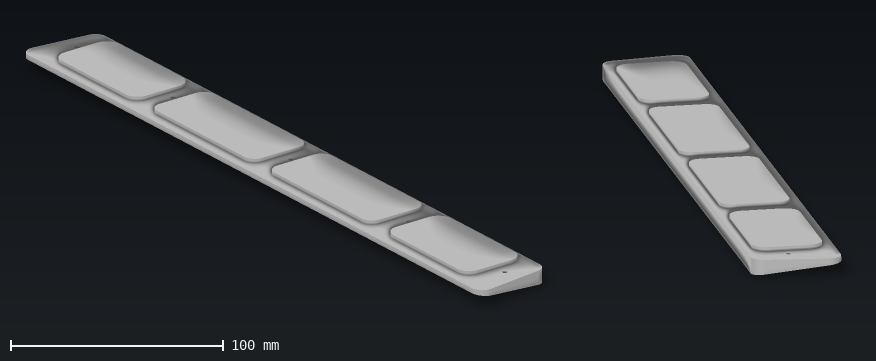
import cadquery as cq
import math

length = 358.5
depth = 42.5
total_height = 10.0
pad_height = 2.0
plate_top = total_height - pad_height
front_thickness = 2.6
end_taper = math.radians(7)
corner_radius = 6.0

pad_front = 5.5
pad_depth = 33.7
pad_gap = 11.5
long_pad_length = 80.5
long_pad_radius = 6.0
short_pad_length = 64.2
short_pad_radius = 7.0

hole_diameter = 2.5
hole_depth = 3.5
hole_y = 24.0
inner_hole_x = 92.0
outer_hole_x = 167.0


def base_plate():
    corner_overhang = corner_radius * (math.tan(math.pi / 4 + end_taper / 2) - 1)
    front_half = length / 2 + corner_overhang
    back_half = front_half - depth * math.tan(end_taper)
    outline = (
        cq.Workplane("XY")
        .polyline([(-front_half, 0), (front_half, 0), (back_half, depth), (-back_half, depth)])
        .close()
        .extrude(plate_top)
        .edges("|Z")
        .fillet(corner_radius)
    )
    wedge = (
        cq.Workplane("YZ")
        .polyline([(0, plate_top), (0, plate_top - front_thickness), (depth, 0), (depth, plate_top)])
        .close()
        .extrude(front_half, both=True)
    )
    return outline.intersect(wedge)


def pad(center_x, pad_length, radius):
    return (
        cq.Workplane("XY", origin=(center_x, pad_front + pad_depth / 2, 0))
        .workplane(offset=plate_top)
        .rect(pad_length, pad_depth)
        .extrude(pad_height)
        .edges("|Z")
        .fillet(radius)
    )


long_pad_x = (pad_gap + long_pad_length) / 2
short_pad_x = long_pad_x + long_pad_length / 2 + pad_gap + short_pad_length / 2

result = base_plate()
for side in (-1, 1):
    result = result.union(pad(side * long_pad_x, long_pad_length, long_pad_radius))
    result = result.union(pad(side * short_pad_x, short_pad_length, short_pad_radius))

hole_positions = [(x, hole_y) for x in (-outer_hole_x, -inner_hole_x, 0, inner_hole_x, outer_hole_x)]
holes = (
    cq.Workplane("XY", origin=(0, 0, plate_top - hole_depth))
    .pushPoints(hole_positions)
    .circle(hole_diameter / 2)
    .extrude(hole_depth)
)
result = result.cut(holes)